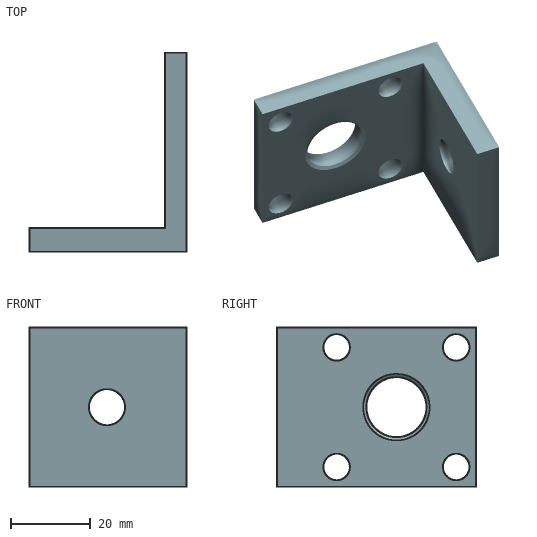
import cadquery as cq

width = 39.5
depth = 50.0
height = 40.0
front_thickness = 6.0
side_thickness = 5.5

front_hole_diameter = 9.0
front_hole_x = 19.5

bore_diameter = 15.0
rim_width = 0.85
rim_depth = 0.5
bolt_hole_diameter = 6.6
bolt_spacing = 30.0
bolt_edge_distance = (height - bolt_spacing) / 2
bore_y = depth - bolt_edge_distance - bolt_spacing / 2
mid_z = height / 2
inner_face_x = width - side_thickness


def make_plates():
    """Front plate and side plate meeting at the +X, -Y corner."""
    front = cq.Workplane("XY").box(width, front_thickness, height, centered=False)
    side = cq.Workplane("XY").box(side_thickness, depth, height, centered=False)
    return front.union(side.translate((inner_face_x, 0, 0)))


def make_front_hole():
    plane = cq.Workplane("XZ", origin=(front_hole_x, 0, mid_z))
    return plane.circle(front_hole_diameter / 2).extrude(-front_thickness)


def side_plane():
    """Plane on the inner face of the side plate, centred on the bore."""
    return cq.Workplane("YZ", origin=(inner_face_x, bore_y, mid_z))


def make_bore():
    """Through bore with a conical rim on both faces of the side plate."""
    radius = bore_diameter / 2
    bore = side_plane().circle(radius).extrude(side_thickness)
    for face_x, inward in ((inner_face_x, 1), (width, -1)):
        rim = cq.Solid.makeCone(
            radius + rim_width,
            radius,
            rim_depth,
            pnt=cq.Vector(face_x, bore_y, mid_z),
            dir=cq.Vector(inward, 0, 0),
        )
        bore = bore.union(cq.Workplane(obj=rim))
    return bore


def make_bolt_holes():
    corners = side_plane().rect(bolt_spacing, bolt_spacing, forConstruction=True).vertices()
    return corners.circle(bolt_hole_diameter / 2).extrude(side_thickness)


result = make_plates().cut(make_front_hole()).cut(make_bore()).cut(make_bolt_holes())